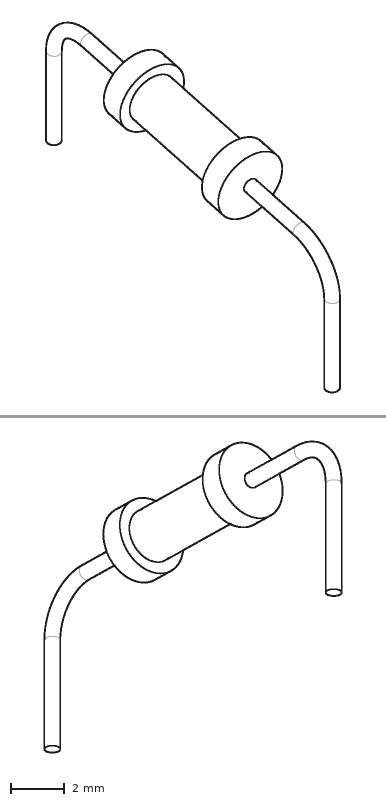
import cadquery as cq

overall_length = 17.6
overall_height = 8.0

cap_diameter = 3.0
cap_width = 1.0
barrel_diameter = 2.1
body_length = 7.0

wire_diameter = 0.6
bend_radius = 2.0

leg_x = (overall_length - wire_diameter) / 2
bend_start_x = leg_x - bend_radius
leg_bottom_z = cap_diameter / 2 - overall_height


def cylinder_along_x(diameter, length, center_x=0):
    return (
        cq.Workplane("YZ", origin=(center_x - length / 2, 0, 0))
        .circle(diameter / 2)
        .extrude(length)
    )


def make_body():
    body = cylinder_along_x(barrel_diameter, body_length)
    cap_center = (body_length - cap_width) / 2
    for side in (-1, 1):
        body = body.union(cylinder_along_x(cap_diameter, cap_width, side * cap_center))
    return body


def make_wire():
    """One continuous wire, from the foot of one leg through the body to the other."""
    path = (
        cq.Workplane("XZ")
        .moveTo(-leg_x, leg_bottom_z)
        .lineTo(-leg_x, -bend_radius)
        .radiusArc((-bend_start_x, 0), bend_radius)
        .lineTo(bend_start_x, 0)
        .radiusArc((leg_x, -bend_radius), bend_radius)
        .lineTo(leg_x, leg_bottom_z)
    )
    foot = cq.Workplane("XY", origin=(-leg_x, 0, leg_bottom_z))
    return foot.circle(wire_diameter / 2).sweep(path)


result = make_body().union(make_wire())